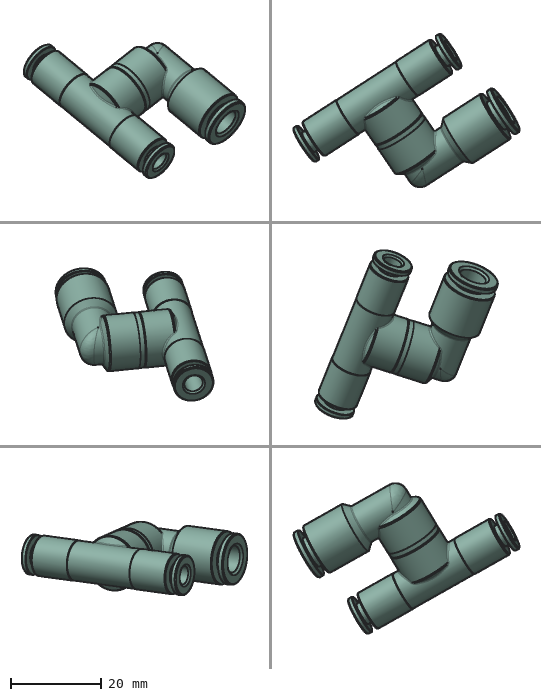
import cadquery as cq
import math

run_dia = 9.1
run_centre_dia = 9.0
run_half_length = 19.55
run_centre_half_length = 7.85
run_body_start = 8.0
run_neck_dia = 5.2
run_collar_dia = 9.0
run_collar_width = 1.2
run_bore_dia = 4.15
run_entry_dia = 5.0
run_passage_dia = 3.0

swivel_dia = 12.5
swivel_cone_start = 0.35
swivel_cone_tip_radius = 4.2
swivel_shoulder_low = 1.75
swivel_shoulder_high = 16.2
swivel_cone_end = 17.5
swivel_bevel = 0.35
ring_dia = 12.4
ring_low = 8.5
ring_high = 9.6
seam_dia = 12.25
seam_width = 0.25

elbow_dia = 9.1
elbow_radius = elbow_dia / 2
socket_dia = 12.0
overall_depth = 28.55
elbow_y = overall_depth - run_dia / 2 - socket_dia / 2
socket_end = 22.25
socket_cone_start = 8.0
socket_body_start = 9.55
socket_neck_dia = 7.3
socket_collar_dia = 11.5
socket_collar_width = 1.35
socket_bore_dia = 6.0
socket_entry_dia = 7.1
neck_fillet = 0.38

collar_gap = 1.35
mouth_chamfer = 0.13
lip_chamfer = 0.25
junction_fillet = 0.315


def revolve_x(points):
    """Turn a closed (x, radius) outline about the X axis."""
    return cq.Workplane("XY").polyline(points).close().revolve(360, (0, 0, 0), (1, 0, 0))


def port(start, end, body_start_dia, body_start, body_dia, neck_dia, collar_dia, collar_width):
    """Socket body, narrow neck and release collar facing +X."""
    collar_start = end - collar_width
    body_end = collar_start - collar_gap
    body_radius = body_dia / 2
    collar_radius = collar_dia / 2
    return revolve_x([
        (start, 0),
        (start, body_start_dia / 2),
        (body_start, body_radius),
        (body_end - lip_chamfer, body_radius),
        (body_end, body_radius - mouth_chamfer),
        (body_end, neck_dia / 2),
        (collar_start, neck_dia / 2),
        (collar_start, collar_radius - mouth_chamfer),
        (collar_start + mouth_chamfer, collar_radius),
        (end - lip_chamfer, collar_radius),
        (end, collar_radius - lip_chamfer),
        (end, 0),
    ])


def tube_bore(bottom, end, bore_dia, entry_dia):
    """Tube socket open towards +X with a chamfered entry."""
    bore_radius = bore_dia / 2
    entry_radius = entry_dia / 2
    return revolve_x([
        (bottom, 0),
        (bottom, bore_radius),
        (end - (entry_radius - bore_radius), bore_radius),
        (end, entry_radius),
        (end, 0),
    ])


def both_ends(solid):
    return solid.union(solid.mirror("YZ"))


def swivel():
    radius = swivel_dia / 2
    seam_low = ring_low - seam_width
    barrel = (
        cq.Workplane("XY")
        .moveTo(0, swivel_cone_start)
        .lineTo(swivel_cone_tip_radius, swivel_cone_start)
        .lineTo(radius - swivel_bevel / 2, swivel_shoulder_low - swivel_bevel)
        .lineTo(radius, swivel_shoulder_low)
        .lineTo(radius, seam_low)
        .lineTo(seam_dia / 2, seam_low)
        .lineTo(seam_dia / 2, ring_low)
        .lineTo(ring_dia / 2, ring_low)
        .lineTo(ring_dia / 2, ring_high)
        .lineTo(radius, ring_high)
        .lineTo(radius, swivel_shoulder_high)
        .lineTo(radius - swivel_bevel / 2, swivel_shoulder_high + swivel_bevel)
        .lineTo(elbow_radius, swivel_cone_end)
        .lineTo(0, swivel_cone_end)
        .close()
    )
    return barrel.revolve(360, (0, 0, 0), (0, 1, 0))


def elbow_corner():
    """Rounded outer corner: half-ellipse sections fanned about the axis intersection.

    The outer tips follow an arc tangent to both pipes. The flat inner side of the
    sections lies just off the bend centre, so a sphere fills the core between the pipes.
    """
    tangent_offset = elbow_radius * math.tan(math.pi / 8)
    bend_radius = elbow_radius - tangent_offset
    core = 0.2
    sections = []
    section_count = 7
    for index in range(section_count):
        arc_angle = math.pi / 2 * index / (section_count - 1)
        along = tangent_offset + bend_radius * math.sin(arc_angle)
        across = tangent_offset + bend_radius * math.cos(arc_angle)
        reach = math.hypot(along, across)
        outward = cq.Vector(-along / reach, across / reach, 0)
        centre = cq.Vector(0, elbow_y, 0)
        normal = outward.cross(cq.Vector(0, 0, 1))
        start_angle = math.degrees(math.acos(core / reach))
        rim = cq.Edge.makeEllipse(
            reach, elbow_radius, centre, normal, outward, -start_angle, start_angle, 1
        )
        chord = cq.Edge.makeLine(rim.endPoint(), rim.startPoint())
        sections.append(cq.Wire.assembleEdges([rim, chord]))
    corner = cq.Workplane(cq.Solid.makeLoft(sections))
    sphere = cq.Workplane("XY").sphere(elbow_radius).translate((0, elbow_y, 0))
    return corner.union(sphere)


def pipe(length):
    """Elbow pipe along +X, trimmed where the rounded corner begins."""
    setback = elbow_radius * math.tan(math.pi / 8)
    span = 2 * elbow_radius
    kept_side = (
        cq.Workplane("XY")
        .polyline([(0, 0), (-2 * setback, span), (length, span), (length, -span), (0, -span)])
        .close()
        .extrude(span, both=True)
    )
    rod = cq.Workplane("YZ").workplane(offset=-setback).circle(elbow_radius).extrude(length + setback)
    return rod.intersect(kept_side)


def elbow_pipes():
    """Level pipe to the large socket and upright pipe into the swivel."""
    level = pipe(socket_cone_start)
    upright = pipe(elbow_y - ring_high).mirror("XZ").rotate((0, 0, 0), (0, 0, 1), -90)
    return level.union(upright).translate((0, elbow_y, 0))


run = cq.Workplane("YZ").circle(run_centre_dia / 2).extrude(run_centre_half_length, both=True)
run_port = port(
    run_centre_half_length, run_half_length, run_centre_dia, run_body_start,
    run_dia, run_neck_dia, run_collar_dia, run_collar_width,
)
large_port = port(
    socket_cone_start, socket_end, elbow_dia, socket_body_start,
    socket_dia, socket_neck_dia, socket_collar_dia, socket_collar_width,
).translate((0, elbow_y, 0))

result = run.union(swivel())
result = result.edges("%BSPLINE").fillet(junction_fillet)

elbow = swivel().union(elbow_pipes())
beside_level_pipe = cq.selectors.BoxSelector(
    (swivel_bevel, ring_high, -swivel_dia), (swivel_dia, elbow_y, swivel_dia)
)
upright_foot = cq.selectors.NearestToPointSelector((-elbow_radius, swivel_cone_end, 0))
pipe_joints = elbow.edges("%BSPLINE").edges(beside_level_pipe)
pipe_joints = pipe_joints.add(elbow.edges("%CIRCLE").edges(upright_foot))
elbow = elbow.newObject(pipe_joints.vals()).fillet(junction_fillet)
elbow = elbow.union(elbow_corner()).union(large_port)
socket_neck = cq.selectors.NearestToPointSelector((socket_cone_start, elbow_y, 0))
elbow = elbow.edges("%CIRCLE").edges(socket_neck).fillet(neck_fillet)
result = result.union(elbow).union(both_ends(run_port))

result = result.cut(both_ends(tube_bore(run_body_start, run_half_length, run_bore_dia, run_entry_dia)))
result = result.cut(cq.Workplane("YZ").circle(run_passage_dia / 2).extrude(run_half_length, both=True))
large_bore = tube_bore(socket_body_start, socket_end, socket_bore_dia, socket_entry_dia)
result = result.cut(large_bore.translate((0, elbow_y, 0)))